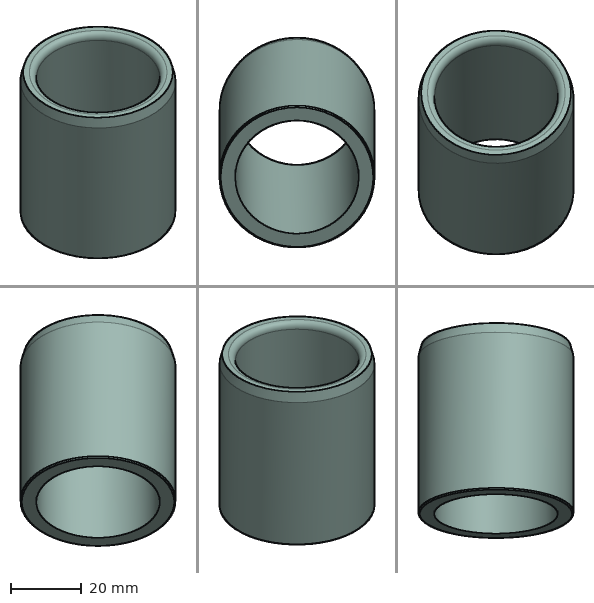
import cadquery as cq
import math

height = 50.0
outer_diameter = 44.0
bore_diameter = 35.0

taper_height = 3.0
taper_angle = 15.0
taper_inset = taper_height * math.tan(math.radians(taper_angle))

bore_mouth_radius = 2.0
bottom_chamfer = 0.4


def sleeve():
    """Tube with square ends."""
    return (
        cq.Workplane("XY")
        .circle(outer_diameter / 2)
        .circle(bore_diameter / 2)
        .extrude(height)
    )


def round_bore_mouth(body):
    """Round the top edge of the bore."""
    return body.faces(">Z").edges(cq.selectors.RadiusNthSelector(0)).fillet(bore_mouth_radius)


def taper_top(body):
    """Cut the lead-in taper on the top outer edge."""
    top_outer_edge = body.faces(">Z").edges(cq.selectors.RadiusNthSelector(-1))
    return top_outer_edge.chamfer(taper_inset, taper_height)


def break_bottom_edge(body):
    """Chamfer the bottom outer edge."""
    return body.faces("<Z").edges(cq.selectors.RadiusNthSelector(-1)).chamfer(bottom_chamfer)


result = break_bottom_edge(taper_top(round_bore_mouth(sleeve())))